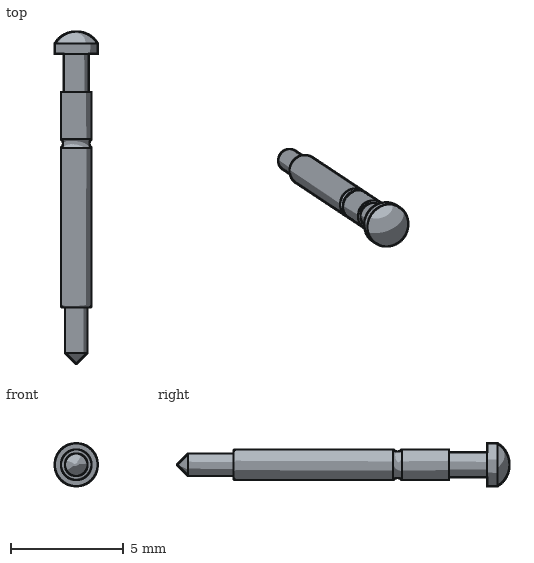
import cadquery as cq

length = 14.8
head_radius = 0.96
dome_height = 0.55
head_height = 1.0
stem_radius = 0.56
barrel_radius = 0.68
barrel_start = 2.7
barrel_end = 12.28
barrel_end_fillet = 0.1
groove_center = 4.99
groove_width = 0.38
groove_depth = 0.09
tail_radius = 0.5
point_height = tail_radius

top = length / 2
bottom = -length / 2


def cylinder(radius, start, end):
    """Cylinder on the Y axis between two distances below the dome top."""
    return (
        cq.Workplane("XZ", origin=(0, top - start, 0))
        .circle(radius)
        .extrude(end - start)
    )


def revolve_about_y(profile):
    return profile.close().revolve(360, (0, 0, 0), (0, 1, 0))


def make_head():
    sphere_radius = (head_radius**2 + dome_height**2) / (2 * dome_height)
    mid_radius = head_radius / 2
    mid_drop = sphere_radius - (sphere_radius**2 - mid_radius**2) ** 0.5
    profile = (
        cq.Workplane("XY")
        .moveTo(0, top)
        .threePointArc((mid_radius, top - mid_drop), (head_radius, top - dome_height))
        .lineTo(head_radius, top - head_height)
        .lineTo(0, top - head_height)
    )
    return revolve_about_y(profile)


def make_groove():
    center_y = top - groove_center
    half_width = groove_width / 2
    profile = (
        cq.Workplane("XY")
        .moveTo(barrel_radius, center_y + half_width)
        .threePointArc(
            (barrel_radius - groove_depth, center_y),
            (barrel_radius, center_y - half_width),
        )
    )
    return revolve_about_y(profile)


def make_barrel():
    barrel = cylinder(barrel_radius, barrel_start, barrel_end)
    barrel = barrel.faces("<Y").edges().fillet(barrel_end_fillet)
    return barrel.cut(make_groove())


def make_tail():
    profile = (
        cq.Workplane("XY")
        .moveTo(0, bottom)
        .lineTo(tail_radius, bottom + point_height)
        .lineTo(tail_radius, top - barrel_end)
        .lineTo(0, top - barrel_end)
    )
    return revolve_about_y(profile)


stem = cylinder(stem_radius, head_height, barrel_start)
result = make_head().union(stem).union(make_barrel()).union(make_tail())